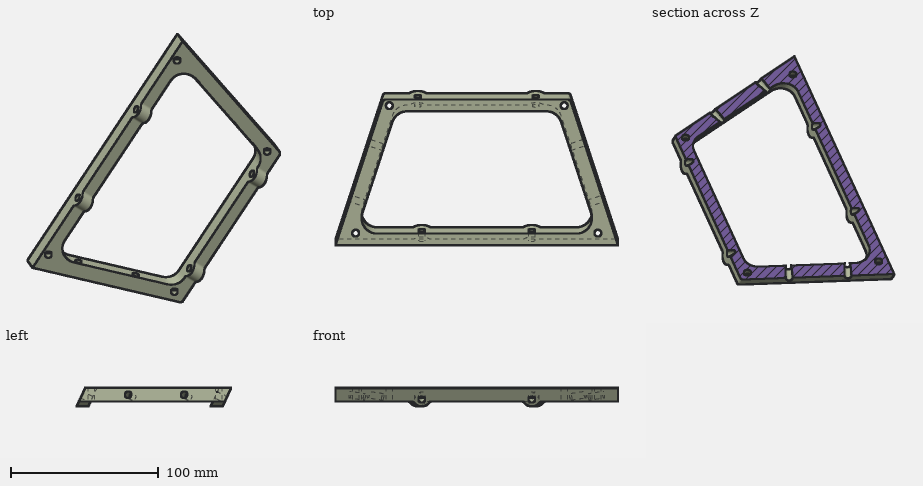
import cadquery as cq
import math

FRONT_WIDTH = 191.39
TOTAL_DEPTH = 104.6
PLATE_HEIGHT = 9.4
TOTAL_HEIGHT = 12.69
LEAN_ANGLE = 25
SIDE_SLOPE = 0.329

FRONT_RAIL = 8.2
BACK_RAIL = 8.0
SIDE_RAIL = 10.5
OPENING_RADIUS = 10.4
BACK_CORNER_RADIUS = 2.0
FRONT_EDGE_FLAT = 0.25

HOLE_DIAMETER = 4.5
HOLE_REACH = 12.0
FRONT_SCREW_INSET = 8.5
FRONT_SCREW_X = 82.0
BACK_SCREW_INSET = 4.1
BACK_SCREW_X = 59.2
SIDE_HOLE_YS = (32.1, 70.0)
SIDE_HOLE_Z = -PLATE_HEIGHT / 2

FRONT_LUG_X = 37.25
BACK_LUG_X = 39.9
LUG_RADIUS = 6.0
LUG_ROOT_RADIUS = 2.0
LUG_HOLE_Z = -6.45

LEAN_SLOPE = math.tan(math.radians(LEAN_ANGLE))
TOP_DEPTH = TOTAL_DEPTH + FRONT_EDGE_FLAT - LEAN_SLOPE * TOTAL_HEIGHT
SIDE_ANGLE = math.atan(SIDE_SLOPE)
SIDE_RAIL_RUN = SIDE_RAIL / math.cos(SIDE_ANGLE)
LEAN_STRETCH = math.hypot(1, LEAN_SLOPE)


def half_width(y):
    """Half the outer width of the top outline at a given Y."""
    return FRONT_WIDTH / 2 - SIDE_SLOPE * y


def leaning_prism(wire, height):
    """Extrude a horizontal wire downward along the lean."""
    path = cq.Vector(0, LEAN_SLOPE * height, -height)
    return cq.Workplane(cq.Solid.extrudeLinear(wire, [], path))


def trapezoid(front_y, back_y, inset):
    """Symmetric trapezoid wire whose sides are moved in along X by the inset."""
    front = half_width(front_y) - inset
    back = half_width(back_y) - inset
    corners = [(-front, front_y), (front, front_y), (back, back_y), (-back, back_y)]
    return cq.Workplane("XY").polyline(corners).close().val()


def rounded(wire, radius, chosen):
    """Round the corners of a flat wire that pass the chosen test."""
    return wire.fillet2D(radius, [v for v in wire.Vertices() if chosen(v)])


def drill(center, direction):
    """Cylinder of the hole diameter centred on a point."""
    axis = cq.Vector(*direction).normalized()
    start = cq.Vector(*center) - axis * HOLE_REACH
    return cq.Workplane(cq.Solid.makeCylinder(HOLE_DIAMETER / 2, 2 * HOLE_REACH, start, axis))


def lug(x, front_y, rail):
    """Round lug with filleted roots, drawn on the leaning rail face and carried along Y through the rail."""
    face = cq.Plane(
        origin=(x, front_y + LEAN_SLOPE * PLATE_HEIGHT, -PLATE_HEIGHT),
        xDir=(1, 0, 0),
        normal=(0, -1, -LEAN_SLOPE),
    )
    lug_drop = (TOTAL_HEIGHT - PLATE_HEIGHT) * LEAN_STRETCH
    centre_v = LUG_RADIUS - lug_drop
    centre_gap = LUG_RADIUS + LUG_ROOT_RADIUS
    root_v = -LUG_ROOT_RADIUS
    root_u = math.sqrt(centre_gap**2 - (centre_v - root_v) ** 2)
    share = LUG_RADIUS / centre_gap
    tangent_u = root_u * share
    tangent_v = centre_v + (root_v - centre_v) * share
    tangent_angle = math.atan2(tangent_v - root_v, tangent_u - root_u) % (2 * math.pi)
    middle_angle = (math.pi / 2 + tangent_angle) / 2
    middle_u = root_u + LUG_ROOT_RADIUS * math.cos(middle_angle)
    middle_v = root_v + LUG_ROOT_RADIUS * math.sin(middle_angle)
    profile = (
        cq.Workplane(face)
        .moveTo(-root_u, 0)
        .threePointArc((-middle_u, middle_v), (-tangent_u, tangent_v))
        .threePointArc((0, -lug_drop), (tangent_u, tangent_v))
        .threePointArc((middle_u, middle_v), (root_u, 0))
        .close()
    )
    return cq.Workplane(cq.Solid.extrudeLinear(profile.val(), [], cq.Vector(0, rail, 0)))


def make_frame():
    """Leaning trapezoid frame with a rounded opening."""
    outline = trapezoid(0, TOP_DEPTH, 0)
    outline = rounded(outline, BACK_CORNER_RADIUS, lambda v: v.Y > TOP_DEPTH / 2)
    opening = trapezoid(FRONT_RAIL, TOP_DEPTH - BACK_RAIL, SIDE_RAIL_RUN)
    opening = rounded(opening, OPENING_RADIUS, lambda v: True)
    return leaning_prism(outline, PLATE_HEIGHT).cut(leaning_prism(opening, PLATE_HEIGHT))


def add_lugs(body):
    """Two lugs under each of the front and back rails, bored square to the leaning faces."""
    rows = [(FRONT_LUG_X, 0, FRONT_RAIL), (BACK_LUG_X, TOP_DEPTH - BACK_RAIL, BACK_RAIL)]
    for lug_x, front_y, rail in rows:
        hole_y = front_y + rail / 2 - LEAN_SLOPE * LUG_HOLE_Z
        for side in (-1, 1):
            body = body.union(lug(side * lug_x, front_y, rail))
            body = body.cut(drill((side * lug_x, hole_y, LUG_HOLE_Z), (0, 1, LEAN_SLOPE)))
    return body


def cut_screw_holes(body):
    """Vertical through hole at each corner of the frame."""
    for x, y in [(FRONT_SCREW_X, FRONT_SCREW_INSET), (BACK_SCREW_X, TOP_DEPTH - BACK_SCREW_INSET)]:
        for side in (-1, 1):
            body = body.cut(drill((side * x, y, -PLATE_HEIGHT / 2), (0, 0, 1)))
    return body


def cut_side_holes(body):
    """Two holes through each side rail, square to its leaning outer face and placed on that face."""
    for y in SIDE_HOLE_YS:
        x = half_width(y + LEAN_SLOPE * SIDE_HOLE_Z)
        for side in (-1, 1):
            outward = (side, SIDE_SLOPE, SIDE_SLOPE * LEAN_SLOPE)
            body = body.cut(drill((side * x, y, SIDE_HOLE_Z), outward))
    return body


def trim_front_edge(body):
    """Flatten the sharp top front edge with a narrow vertical face."""
    cutter = cq.Workplane("XY").box(2 * FRONT_WIDTH, TOP_DEPTH, 2 * TOTAL_HEIGHT)
    return body.cut(cutter.translate((0, FRONT_EDGE_FLAT - TOP_DEPTH / 2, 0)))


frame = add_lugs(make_frame())
frame = cut_screw_holes(frame)
frame = cut_side_holes(frame)
result = trim_front_edge(frame)